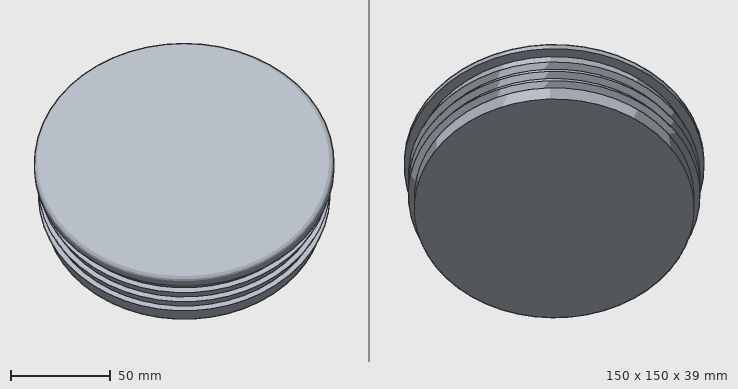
import cadquery as cq

total_height = 39.0
flange_diameter = 150.0
flange_thickness = 5.0
flange_rounding = 2.4
body_diameter = 140.0

fin_diameter = 146.0
fin_thickness = 2.0
fin_count = 3
fin_pitch = 7.5
lowest_fin_top = 11.0


def make_body():
    return cq.Workplane("XY").circle(body_diameter / 2).extrude(total_height)


def make_flange():
    flange = (
        cq.Workplane("XY")
        .workplane(offset=total_height - flange_thickness)
        .circle(flange_diameter / 2)
        .extrude(flange_thickness)
    )
    return flange.faces(">Z").edges().fillet(flange_rounding)


def make_fin(top):
    """Cone frustum widening upward from the body to the fin edge."""
    return (
        cq.Workplane("XZ")
        .moveTo(0, top - fin_thickness)
        .lineTo(body_diameter / 2, top - fin_thickness)
        .lineTo(fin_diameter / 2, top)
        .lineTo(0, top)
        .close()
        .revolve(360, (0, 0, 0), (0, 1, 0))
    )


result = make_body().union(make_flange())
for index in range(fin_count):
    result = result.union(make_fin(lowest_fin_top + index * fin_pitch))